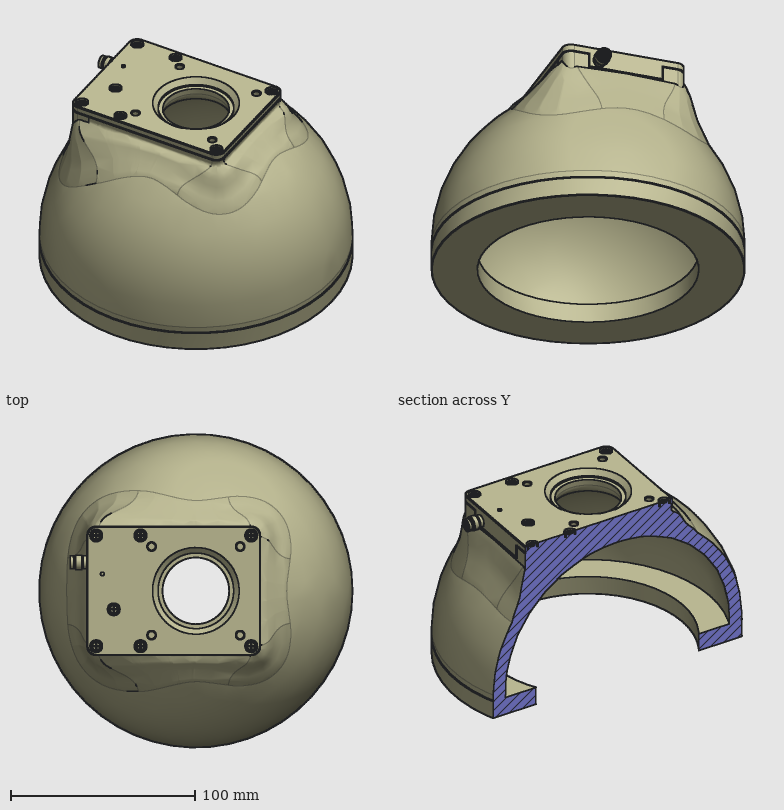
import cadquery as cq
import math

TOTAL_HEIGHT = 103.3
DOME_RADIUS = 85.0

RING_TOP = 11.0
RING_BOTTOM_CHAMFER = 0.4
DOME_CENTRE_Z = 15.3
SEAM_WIDTH = 0.4
SEAM_DEPTH = 0.4

INNER_RADIUS = 77.5
FLOOR_THICKNESS = RING_TOP
FLOOR_OPENING_DIA = 120.0
BORE_DIA = 36.0
BORE_FILLET = 7.0

PLATE_THICKNESS = 4.0
PLATE_BOTTOM = TOTAL_HEIGHT - PLATE_THICKNESS
NECK_BOTTOM = PLATE_BOTTOM - SEAM_WIDTH
PLATE_LEFT = -59.0
PLATE_RIGHT = 35.0
PLATE_HALF_WIDTH = 35.0
PLATE_LENGTH = PLATE_RIGHT - PLATE_LEFT
PLATE_CENTRE_X = (PLATE_RIGHT + PLATE_LEFT) / 2
PLATE_CORNER = 5.0
PLATE_TOP_CHAMFER = 0.5
WINDOW_DIA = 41.0
WINDOW_CONE_DIA = 47.0
WINDOW_CONE_DEPTH = (WINDOW_CONE_DIA - WINDOW_DIA) / 2

BLOCK_BOTTOM = 82.0
BLOCK_LENGTH = 12.0
TAB_HALF_WIDTH = 21.0
TAB_BOTTOM = 91.5

BLEND_LEFT_INSET = 0.6
ROOT_Z = 42.0
ROOT_SHRINK = 0.8
DIVE_ANGLE = 10.0
BLEND_STEPS = (0.25, 0.5, 0.75)
ROOT_STEPS = (0.25, 0.5, 0.75)
POINTS_PER_EDGE = 6
SIDE_FLARE = 0.4
FLARE_DELAY = 0.2
FOOT_EXTREMES = ((0.0, 49.1), (45.0, 62.0), (90.0, 49.1), (147.0, 74.5), (180.0, 70.1))
FOOT_RIGHT_SEAM = 19.0
FOOT_FRONT_SEAM = 90.0 - FOOT_RIGHT_SEAM
FOOT_REAR_SEAM = 120.0
FOOT_LEFT_SEAM = 165.5

SCREW_PITCH = 30.0
SCREW_ROWS_X = (-54.0, -SCREW_PITCH, SCREW_PITCH)
EXTRA_SCREW = (-44.5, -10.0)
SCREW_POCKET_DIA = 6.8
SCREW_HEAD_DIA = 5.6
SCREW_POCKET_DEPTH = 2.5
SCREW_HEAD_DROP = 0.3
SCREW_HEAD_CHAMFER = 0.7
CROSS_LENGTH = 2.6
CROSS_WIDTH = 0.7
CROSS_DEPTH = 1.0
MOUNT_PITCH = 24.0
MOUNT_DIA = 4.0
MOUNT_MOUTH_DIA = 5.0
INDICATOR_CENTRE = (-50.7, 9.2)
INDICATOR_DIA = 2.0
INDICATOR_DEPTH = 0.5

CONNECTOR_Y = 15.4
CONNECTOR_Z = 95.6
CONNECTOR_ROOT = 1.0
CONNECTOR_TIP = 9.1
CONNECTOR_DIA = 7.0
CONNECTOR_COLLAR_DIA = 8.0
CONNECTOR_GROOVE_DIA = 6.2
SHANK_END = 2.1
COLLAR_START = 2.9
COLLAR_END = 6.0
RIM_START = 6.6
RIM_GROOVE_END = 7.2
SOCKET_DIA = 5.5
SOCKET_DEPTH = 2.0
PIN_DIA = 1.0
PIN_CIRCLE_DIA = 2.8
PIN_COUNT = 4


def rounded_block(bottom, top):
    """Rectangular block with the outline of the cover plate."""
    block = cq.Workplane("XY", origin=(PLATE_CENTRE_X, 0, bottom))
    block = block.rect(PLATE_LENGTH, 2 * PLATE_HALF_WIDTH)
    return block.extrude(top - bottom).edges("|Z").fillet(PLATE_CORNER)


def dome_height(radius):
    return DOME_CENTRE_Z + math.sqrt(DOME_RADIUS**2 - radius**2)


def foot_radius(angle):
    """Distance of the blend's foot from the Z axis: cosine waves between crests and dips."""
    folded = min(abs(angle), 360 - abs(angle))
    for (start, r_start), (end, r_end) in zip(FOOT_EXTREMES, FOOT_EXTREMES[1:]):
        if folded <= end:
            wave = (1 - math.cos(math.pi * (folded - start) / (end - start))) / 2
            return r_start + (r_end - r_start) * wave
    return FOOT_EXTREMES[-1][1]


def foot_point(angle):
    radius = foot_radius(angle)
    turn = math.radians(angle)
    return cq.Vector(radius * math.cos(turn), radius * math.sin(turn), dome_height(radius))


def dome_downhill(point):
    """Unit vector pointing straight down the dome at a point on it."""
    radius = math.hypot(point.x, point.y)
    rise = point.z - DOME_CENTRE_Z
    return cq.Vector(point.x * rise / radius, point.y * rise / radius, -radius) / DOME_RADIUS


def blend_faces():
    """For each blend face: its top-edge function of 0..1 and its start and end foot angles."""
    left = PLATE_LEFT + BLEND_LEFT_INSET
    inner_left = left + PLATE_CORNER
    inner_right = PLATE_RIGHT - PLATE_CORNER
    half = PLATE_HALF_WIDTH
    inner_y = half - PLATE_CORNER

    def line(x0, y0, x1, y1):
        return lambda u: cq.Vector(x0 + (x1 - x0) * u, y0 + (y1 - y0) * u, NECK_BOTTOM)

    def corner(x, y, start):
        def at(u):
            turn = math.radians(start + 90 * u)
            across = PLATE_CORNER * math.cos(turn)
            along = PLATE_CORNER * math.sin(turn)
            return cq.Vector(x + across, y + along, NECK_BOTTOM)

        return at

    return [
        (line(PLATE_RIGHT, -inner_y, PLATE_RIGHT, inner_y), -FOOT_RIGHT_SEAM, FOOT_RIGHT_SEAM),
        (corner(inner_right, inner_y, 0), FOOT_RIGHT_SEAM, FOOT_FRONT_SEAM),
        (line(inner_right, half, inner_left, half), FOOT_FRONT_SEAM, FOOT_REAR_SEAM),
        (corner(inner_left, inner_y, 90), FOOT_REAR_SEAM, FOOT_LEFT_SEAM),
        (line(left, inner_y, left, -inner_y), FOOT_LEFT_SEAM, 360 - FOOT_LEFT_SEAM),
        (corner(inner_left, -inner_y, 180), -FOOT_LEFT_SEAM, -FOOT_REAR_SEAM),
        (line(inner_left, -half, inner_right, -half), -FOOT_REAR_SEAM, -FOOT_FRONT_SEAM),
        (corner(inner_right, -inner_y, 270), -FOOT_FRONT_SEAM, -FOOT_RIGHT_SEAM),
    ]


def smooth_curve(begin, begin_pull, finish, finish_pull, t):
    """Cubic curve between two points with a given pull at each."""
    return (
        begin * (2 * t**3 - 3 * t**2 + 1)
        + begin_pull * (t**3 - 2 * t**2 + t)
        + finish * (3 * t**2 - 2 * t**3)
        + finish_pull * (t**3 - t**2)
    )


def dive_direction(foot):
    """Unit vector at a foot point, running down the dome and slightly into it."""
    tilt = math.radians(DIVE_ANGLE)
    inward = (cq.Vector(0, 0, DOME_CENTRE_Z) - foot).normalized()
    return dome_downhill(foot) * math.cos(tilt) + inward * math.sin(tilt)


def blend_point(top, angle, t):
    """Point at t = 0..1 on the curve from the plate's edge to the foot, nearly tangent to the dome."""
    foot = foot_point(angle)
    outward = cq.Vector(foot.x, foot.y, 0).normalized()
    ramp = (top.x - PLATE_LEFT) / PLATE_CORNER - FLARE_DELAY
    flare = SIDE_FLARE * max(0.0, min(1.0, ramp))
    reach = (foot - top).Length
    start = (outward * flare + cq.Vector(0, 0, -1)).normalized() * reach
    end = dive_direction(foot) * reach
    return smooth_curve(top, start, foot, end, t)


def root_point(top, angle, t):
    """Point at t = 0..1 on the hidden curve from the foot down to a flat ring inside the dome."""
    foot = foot_point(angle)
    root = cq.Vector(foot.x * ROOT_SHRINK, foot.y * ROOT_SHRINK, ROOT_Z)
    pull = dive_direction(foot) * (foot - top).Length
    return smooth_curve(foot, pull, root, cq.Vector(0, 0, ROOT_Z - foot.z), t)


def blend_section(point_at):
    """Closed wire of one spline per blend face."""
    fractions = [i / (POINTS_PER_EDGE - 1) for i in range(POINTS_PER_EDGE)]
    edges = []
    for top_edge, start, end in blend_faces():
        points = [point_at(top_edge(u), start + (end - start) * u) for u in fractions]
        edges.append(cq.Edge.makeSpline(points))
    return cq.Wire.assembleEdges(edges)


def make_blend():
    sections = [blend_section(lambda top, angle: top)]
    for t in BLEND_STEPS + (1.0,):
        sections.append(blend_section(lambda top, angle, t=t: blend_point(top, angle, t)))
    for t in ROOT_STEPS + (1.0,):
        sections.append(blend_section(lambda top, angle, t=t: root_point(top, angle, t)))
    return cq.Workplane(cq.Solid.makeLoft(sections))


def make_dome():
    """Base ring and solid half sphere, with a shallow groove round the ring's top."""
    ring = cq.Workplane("XY").circle(DOME_RADIUS).extrude(DOME_CENTRE_Z)
    ring = ring.faces("<Z").edges().chamfer(RING_BOTTOM_CHAMFER)
    cap = (
        cq.Workplane("XZ", origin=(0, 0, DOME_CENTRE_Z))
        .lineTo(DOME_RADIUS, 0)
        .radiusArc((0, DOME_RADIUS), -DOME_RADIUS)
        .close()
        .revolve(360, (0, 0), (0, 1))
    )
    seam = (
        cq.Workplane("XY", origin=(0, 0, RING_TOP))
        .circle(DOME_RADIUS)
        .circle(DOME_RADIUS - SEAM_DEPTH)
        .extrude(SEAM_WIDTH)
    )
    return ring.union(cap).cut(seam)


def make_neck():
    """Thin slab set back from the outline, leaving a shallow groove under the plate."""
    neck = cq.Workplane("XY", origin=(PLATE_CENTRE_X, 0, NECK_BOTTOM))
    neck = neck.rect(PLATE_LENGTH - 2 * SEAM_DEPTH, 2 * (PLATE_HALF_WIDTH - SEAM_DEPTH))
    return neck.extrude(SEAM_WIDTH).edges("|Z").fillet(PLATE_CORNER - SEAM_DEPTH)


def tab_slab(margin, thickness):
    """Slab at the left wall with the tab's outline, widened by a margin, up to the plate."""
    bottom = TAB_BOTTOM - margin
    slab = cq.Workplane("XY", origin=(PLATE_LEFT + thickness / 2, 0, bottom))
    return slab.rect(thickness, 2 * (TAB_HALF_WIDTH + margin)).extrude(PLATE_BOTTOM - bottom)


def make_left_block():
    """Left end of the plate's outline carried down, with the tab reaching up to the plate."""
    block = rounded_block(BLOCK_BOTTOM, NECK_BOTTOM)
    keep = cq.Workplane("XY", origin=(PLATE_LEFT, 0, BLOCK_BOTTOM))
    keep = keep.rect(2 * BLOCK_LENGTH, 3 * PLATE_HALF_WIDTH).extrude(PLATE_BOTTOM - BLOCK_BOTTOM)
    return block.intersect(keep).union(tab_slab(0, 2 * SEAM_DEPTH))


def make_cavity():
    """Spherical hollow with a rounded throat to the bore, and the opening in the floor."""
    bore = BORE_DIA / 2
    fillet_x = bore + BORE_FILLET
    fillet_z = DOME_CENTRE_Z + math.sqrt((INNER_RADIUS + BORE_FILLET) ** 2 - fillet_x**2)
    touch = INNER_RADIUS / (INNER_RADIUS + BORE_FILLET)
    touch_x = fillet_x * touch
    touch_z = DOME_CENTRE_Z + (fillet_z - DOME_CENTRE_Z) * touch
    floor_x = math.sqrt(INNER_RADIUS**2 - (DOME_CENTRE_Z - FLOOR_THICKNESS) ** 2)
    opening = FLOOR_OPENING_DIA / 2
    return (
        cq.Workplane("XZ")
        .lineTo(opening, 0)
        .lineTo(opening, FLOOR_THICKNESS)
        .lineTo(floor_x, FLOOR_THICKNESS)
        .radiusArc((touch_x, touch_z), -INNER_RADIUS)
        .radiusArc((bore, fillet_z), BORE_FILLET)
        .lineTo(bore, TOTAL_HEIGHT)
        .lineTo(0, TOTAL_HEIGHT)
        .close()
        .revolve(360, (0, 0), (0, 1))
    )


def make_window():
    """Opening in the cover plate with a 45 degree mouth."""
    mouth_bottom = TOTAL_HEIGHT - WINDOW_CONE_DEPTH
    return (
        cq.Workplane("XZ")
        .moveTo(0, PLATE_BOTTOM)
        .lineTo(WINDOW_DIA / 2, PLATE_BOTTOM)
        .lineTo(WINDOW_DIA / 2, mouth_bottom)
        .lineTo(WINDOW_CONE_DIA / 2, TOTAL_HEIGHT)
        .lineTo(0, TOTAL_HEIGHT)
        .close()
        .revolve(360, (0, 0), (0, 1))
    )


def on_top():
    return cq.Workplane("XY", origin=(0, 0, TOTAL_HEIGHT))


def screw_places():
    places = [(x, y) for x in SCREW_ROWS_X for y in (-SCREW_PITCH, SCREW_PITCH)]
    return places + [EXTRA_SCREW]


def cut_screw_pockets(plate):
    """Round pockets, each leaving a chamfered cross-head screw standing inside."""
    pockets = on_top().pushPoints(screw_places()).circle(SCREW_POCKET_DIA / 2)
    pockets = pockets.extrude(-SCREW_POCKET_DEPTH)
    head = (
        cq.Workplane("XY", origin=(0, 0, TOTAL_HEIGHT - SCREW_POCKET_DEPTH))
        .circle(SCREW_HEAD_DIA / 2)
        .extrude(SCREW_POCKET_DEPTH - SCREW_HEAD_DROP)
        .faces(">Z")
        .chamfer(SCREW_HEAD_CHAMFER)
    )
    cross_top = cq.Workplane("XY", origin=(0, 0, TOTAL_HEIGHT - SCREW_HEAD_DROP))
    for length, width in ((CROSS_LENGTH, CROSS_WIDTH), (CROSS_WIDTH, CROSS_LENGTH)):
        head = head.cut(cross_top.rect(length, width).extrude(-CROSS_DEPTH))
    for x, y in screw_places():
        pockets = pockets.cut(head.translate((x, y, 0)))
    return plate.cut(pockets)


def cut_plate_holes(plate):
    """Four chamfered mounting holes on a square and a small flat-bottomed indicator recess."""
    corners = [(x, y) for x in (-MOUNT_PITCH, MOUNT_PITCH) for y in (-MOUNT_PITCH, MOUNT_PITCH)]
    chamfer = (MOUNT_MOUTH_DIA - MOUNT_DIA) / 2
    bores = on_top().pushPoints(corners).circle(MOUNT_DIA / 2).extrude(-PLATE_THICKNESS)
    mouths = on_top().pushPoints(corners).circle(MOUNT_MOUTH_DIA / 2).extrude(-chamfer, taper=45)
    indicator = on_top().center(*INDICATOR_CENTRE).circle(INDICATOR_DIA / 2).extrude(-INDICATOR_DEPTH)
    return plate.cut(bores).cut(mouths).cut(indicator)


def make_plate():
    plate = rounded_block(PLATE_BOTTOM, TOTAL_HEIGHT)
    plate = plate.faces(">Z").edges().chamfer(PLATE_TOP_CHAMFER)
    plate = cut_screw_pockets(plate.cut(make_window()))
    return cut_plate_holes(plate)


def make_connector():
    """Round plug body on the left wall, pointing along -X, with a pin socket in its end."""
    steps = (
        (-CONNECTOR_ROOT, SHANK_END, CONNECTOR_DIA),
        (SHANK_END, COLLAR_START, CONNECTOR_GROOVE_DIA),
        (COLLAR_START, COLLAR_END, CONNECTOR_COLLAR_DIA),
        (COLLAR_END, RIM_START, CONNECTOR_DIA),
        (RIM_START, RIM_GROOVE_END, CONNECTOR_GROOVE_DIA),
        (RIM_GROOVE_END, CONNECTOR_TIP, CONNECTOR_DIA),
    )
    axis = cq.Plane(origin=(PLATE_LEFT, CONNECTOR_Y, CONNECTOR_Z), xDir=(0, 1, 0), normal=(-1, 0, 0))
    plug = cq.Workplane(axis)
    for begin, end, dia in steps:
        plug = plug.union(cq.Workplane(axis).workplane(offset=begin).circle(dia / 2).extrude(end - begin))
    floor = cq.Workplane(axis).workplane(offset=CONNECTOR_TIP - SOCKET_DEPTH)
    plug = plug.cut(floor.circle(SOCKET_DIA / 2).extrude(SOCKET_DEPTH))
    pins = floor.polarArray(PIN_CIRCLE_DIA / 2, 45, 360, PIN_COUNT).circle(PIN_DIA / 2)
    return plug.union(pins.extrude(SOCKET_DEPTH))


housing = make_dome().union(make_blend())
tab_groove = tab_slab(SEAM_WIDTH, SEAM_DEPTH).cut(tab_slab(0, SEAM_DEPTH))
housing = housing.union(make_left_block()).cut(tab_groove)
housing = housing.union(make_neck()).cut(make_cavity())
result = housing.union(make_plate()).union(make_connector())